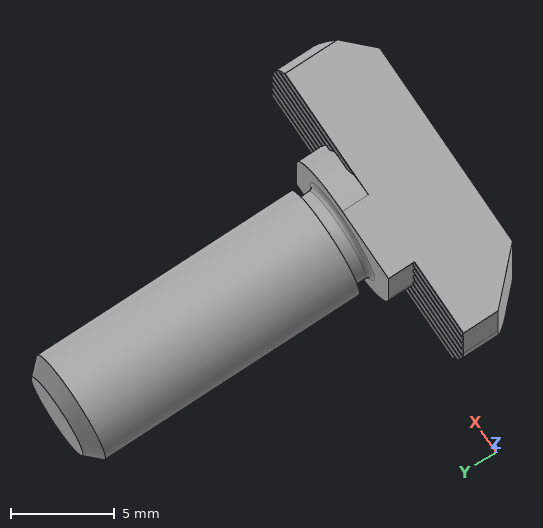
import cadquery as cq
import math


head_length = 16.5
head_height = 8.0
head_thickness = 4.5
head_chamfer = 2.5

serration_pitch = 1.2
serration_width = 0.4
serration_height = 0.1

neck_width = head_height
neck_end = 6.0

shank_diameter = 6.0
shank_start = 7.0
shank_end = 22.5
tip_chamfer_length = 0.8
tip_chamfer_depth = 0.75
undercut_diameter = 5.0
undercut_fillet = 0.3

half_height = head_height / 2


def quarter_turn_prism(length, y_end):
    """Bar along Y from Y = 0, with two opposite corners rounded so it can turn 90 degrees in a slot."""
    radius = length / 2
    edge_x = math.sqrt(radius**2 - half_height**2)
    mid_angle = math.asin(half_height / radius) / 2
    mid_x = radius * math.cos(mid_angle)
    mid_z = radius * math.sin(mid_angle)
    return (
        cq.Workplane("XZ")
        .moveTo(-radius, half_height)
        .lineTo(edge_x, half_height)
        .threePointArc((mid_x, mid_z), (radius, 0))
        .lineTo(radius, -half_height)
        .lineTo(-edge_x, -half_height)
        .threePointArc((-mid_x, -mid_z), (-radius, 0))
        .close()
        .extrude(-y_end)
    )


def make_head_block():
    """Block seen along Z: a rectangle with both front corners chamfered."""
    half_length = head_length / 2
    front_half_length = half_length - head_chamfer
    return (
        cq.Workplane("XY", origin=(0, 0, -half_height))
        .moveTo(-front_half_length, 0)
        .lineTo(front_half_length, 0)
        .lineTo(half_length, head_chamfer)
        .lineTo(half_length, head_thickness)
        .lineTo(-half_length, head_thickness)
        .lineTo(-half_length, head_chamfer)
        .close()
        .extrude(head_height)
    )


def make_serration(z_centre):
    """Low rounded ridge along X, with its base sunk into the head."""
    half_width = serration_width / 2
    base_y = head_thickness - serration_height
    return (
        cq.Workplane("YZ", origin=(-head_length / 2, 0, z_centre))
        .moveTo(base_y, -half_width)
        .lineTo(head_thickness, -half_width)
        .threePointArc((head_thickness + serration_height, 0), (head_thickness, half_width))
        .lineTo(base_y, half_width)
        .close()
        .extrude(head_length)
    )


def make_head():
    """Hammer head: chamfered block with serrations, trimmed to the rounded turning outline."""
    blank = make_head_block()
    serrations_per_side = math.floor(half_height / serration_pitch)
    for index in range(-serrations_per_side, serrations_per_side + 1):
        blank = blank.union(make_serration(index * serration_pitch))
    turning_outline = quarter_turn_prism(head_length, head_thickness + serration_height)
    return blank.intersect(turning_outline)


def make_shank():
    """Undercut with a fillet at the neck, then the full shank and its chamfered tip."""
    shank_radius = shank_diameter / 2
    undercut_radius = undercut_diameter / 2
    fillet_mid = undercut_fillet * (1 - math.sqrt(0.5))
    return (
        cq.Workplane("XY")
        .moveTo(0, neck_end)
        .lineTo(undercut_radius + undercut_fillet, neck_end)
        .threePointArc(
            (undercut_radius + fillet_mid, neck_end + fillet_mid),
            (undercut_radius, neck_end + undercut_fillet),
        )
        .lineTo(undercut_radius, shank_start)
        .lineTo(shank_radius, shank_start)
        .lineTo(shank_radius, shank_end - tip_chamfer_length)
        .lineTo(shank_radius - tip_chamfer_depth, shank_end)
        .lineTo(0, shank_end)
        .close()
        .revolve(360, (0, 0, 0), (0, 1, 0))
    )


head = make_head()
neck = quarter_turn_prism(neck_width, neck_end)
shank = make_shank()
result = head.union(neck).union(shank)